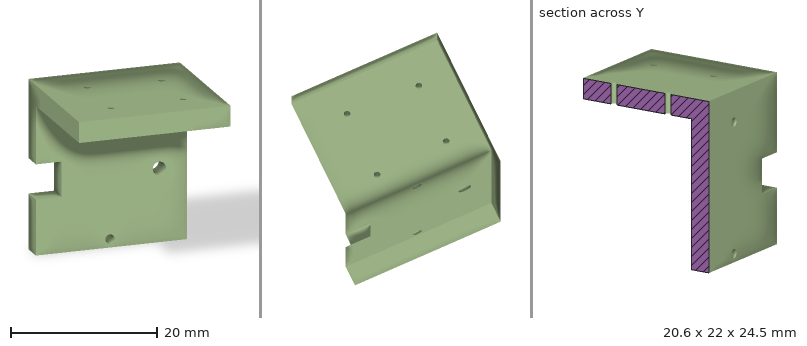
import cadquery as cq

length_x = 20.65
width_y = 22.0
height_z = 24.5
thickness = 3.0

notch_depth = 3.73
notch_height = 5.07
notch_bottom = 8.05

wall_small_diameter = 1.32
wall_large_diameter = 1.9
wall_small_y = 10.78
wall_large_y = 17.97
wall_holes_mid_z = 10.61
wall_small_spacing = 18.77

plate_hole_diameter = 0.9
plate_holes_mid_x = 11.2
front_row_y = 6.3
front_row_spacing = 9.75
back_row_y = 16.94
back_row_spacing = 8.9


def wall_hole(y, z, diameter):
    """Cylinder along X that passes through the upright wall."""
    return cq.Workplane("YZ").center(y, z).circle(diameter / 2).extrude(thickness)


def plate_hole_row(y, spacing):
    """Pair of vertical cylinders that pass through the top plate."""
    centers = [(plate_holes_mid_x + side * spacing / 2, y) for side in (-1, 1)]
    return (
        cq.Workplane("XY", origin=(0, 0, height_z - thickness))
        .pushPoints(centers)
        .circle(plate_hole_diameter / 2)
        .extrude(thickness)
    )


wall = cq.Workplane("XY").box(thickness, width_y, height_z, centered=False)
plate = (
    cq.Workplane("XY")
    .box(length_x, width_y, thickness, centered=False)
    .translate((0, 0, height_z - thickness))
)
body = wall.union(plate)

notch = (
    cq.Workplane("XY")
    .box(thickness, notch_depth, notch_height, centered=False)
    .translate((0, 0, notch_bottom))
)
body = body.cut(notch)

body = body.cut(wall_hole(wall_large_y, wall_holes_mid_z, wall_large_diameter))
for side in (-1, 1):
    small_z = wall_holes_mid_z + side * wall_small_spacing / 2
    body = body.cut(wall_hole(wall_small_y, small_z, wall_small_diameter))

body = body.cut(plate_hole_row(front_row_y, front_row_spacing))
body = body.cut(plate_hole_row(back_row_y, back_row_spacing))

result = body